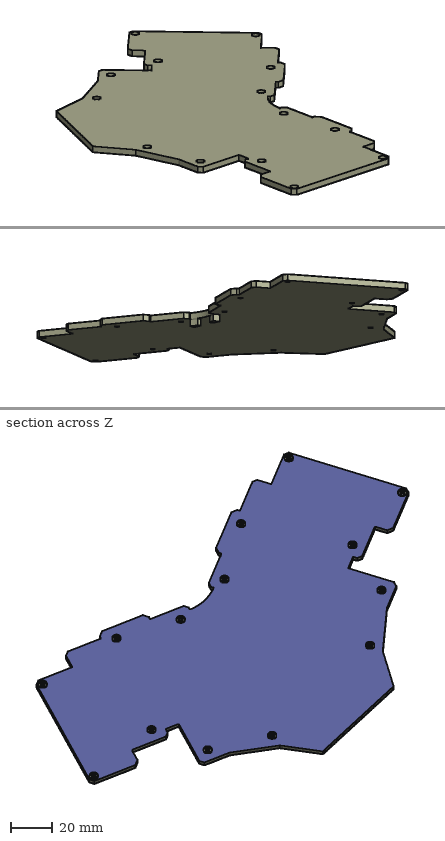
import cadquery as cq
import math

OVERALL_WIDTH = 210.5
MIRROR_ANGLE = 67.5

PLATE_THICKNESS = 3.2
PEG_HEIGHT = 3.4

SMALL_CHAMFER = 1.9
LARGE_CHAMFER = 2.3

RIGHT_EDGE = 103.3
FAR_COLUMN_TOP = 14.3
FAR_COLUMN_BOTTOM_LEFT = 77.2
FAR_COLUMN_TOP_LEFT = 83.3
BANK_TOP = 23.4
BANK_LEFT = 17.5
RAISED_TOP = 27.0
RAISED_LEFT = 37.3
RAISED_RIGHT = 63.8
BANK_BOTTOM = -41.5
BANK_BOTTOM_LEFT = 57.2
RECESS_TOP = -37.5
RECESS_LEFT = 50.5
THUMB_BOTTOM = -63.0
NOTCH_BOTTOM = 20.2

LEFT_REACH = OVERALL_WIDTH - RIGHT_EDGE
MIRRORED_EDGE_ANGLE = 2 * MIRROR_ANGLE - 90
FAR_COLUMN_BOTTOM = RIGHT_EDGE - SMALL_CHAMFER - LEFT_REACH / math.sin(math.radians(MIRRORED_EDGE_ANGLE))

TIP_CORNER = (-6.0, -81.5)
LOWER_BEND = (11.4, -69.5)
THUMB_BEND = (35.1, -63.0)

NOTCH_CENTRE = (BANK_LEFT, BANK_LEFT * math.tan(math.radians(MIRROR_ANGLE)))
NOTCH_RADIUS = NOTCH_CENTRE[1] - NOTCH_BOTTOM

PEG_INNER = 4.5
PEG_OUTER = 9.3
PEG_FRONT = 22.0

HOLE_DIAMETER = 2.0
HEAD_DIAMETER = 4.0
HEAD_DEPTH = 1.5
CORNER_INSET = 3.0
HOLES = [
    (24.0, 16.8),
    (56.8, 20.2),
    (RIGHT_EDGE - CORNER_INSET, FAR_COLUMN_TOP - CORNER_INSET),
    (RIGHT_EDGE - CORNER_INSET, FAR_COLUMN_BOTTOM + CORNER_INSET),
    (63.8, -34.7),
    (44.0, -56.8),
    (12.2, -62.5),
]

AXIS = (math.cos(math.radians(MIRROR_ANGLE)), math.sin(math.radians(MIRROR_ANGLE)))
SIDEWAYS = (AXIS[1], -AXIS[0])


def along_axis(distance):
    """Point on the mirror plane at a distance from the origin."""
    return (AXIS[0] * distance, AXIS[1] * distance)


def axis_coordinates(point):
    """Distances of a point sideways from the mirror plane and along it."""
    sideways = point[0] * SIDEWAYS[0] + point[1] * SIDEWAYS[1]
    along = point[0] * AXIS[0] + point[1] * AXIS[1]
    return (sideways, along)


def mirrored(point):
    """Mirror image of a point across the mirror plane."""
    sideways = axis_coordinates(point)[0]
    return (point[0] - 2 * sideways * SIDEWAYS[0], point[1] - 2 * sideways * SIDEWAYS[1])


def toward(start, end, distance):
    """Point at a distance from start on the line to end."""
    share = distance / math.dist(start, end)
    return (start[0] + (end[0] - start[0]) * share, start[1] + (end[1] - start[1]) * share)


def with_chamfers(corners):
    """Replace each (x, y, chamfer) corner of an open outline by its two chamfer ends."""
    spots = [(x, y) for x, y, _ in corners]
    points = []
    for index, (x, y, chamfer) in enumerate(corners):
        if chamfer:
            points.append(toward((x, y), spots[index - 1], chamfer))
            points.append(toward((x, y), spots[index + 1], chamfer))
        else:
            points.append((x, y))
    return points


def plate():
    """The plate with its underside at Z = 0."""
    corners = [
        (*TIP_CORNER, 0),
        (*LOWER_BEND, 0),
        (*THUMB_BEND, 0),
        (RECESS_LEFT, THUMB_BOTTOM, SMALL_CHAMFER),
        (RECESS_LEFT, RECESS_TOP, 0),
        (BANK_BOTTOM_LEFT, RECESS_TOP, 0),
        (BANK_BOTTOM_LEFT, BANK_BOTTOM, SMALL_CHAMFER),
        (FAR_COLUMN_BOTTOM_LEFT, BANK_BOTTOM, 0),
        (FAR_COLUMN_BOTTOM_LEFT, FAR_COLUMN_BOTTOM, LARGE_CHAMFER),
        (RIGHT_EDGE, FAR_COLUMN_BOTTOM, SMALL_CHAMFER),
        (RIGHT_EDGE, FAR_COLUMN_TOP, SMALL_CHAMFER),
        (FAR_COLUMN_TOP_LEFT, FAR_COLUMN_TOP, 0),
        (FAR_COLUMN_TOP_LEFT, BANK_TOP, SMALL_CHAMFER),
        (RAISED_RIGHT, BANK_TOP, 0),
        (RAISED_RIGHT, RAISED_TOP, LARGE_CHAMFER),
        (RAISED_LEFT, RAISED_TOP, LARGE_CHAMFER),
        (RAISED_LEFT, BANK_TOP, 0),
        (BANK_LEFT, BANK_TOP, SMALL_CHAMFER),
        (BANK_LEFT, NOTCH_BOTTOM, 0),
    ]
    right_points = with_chamfers(corners)
    left_points = [mirrored(point) for point in reversed(right_points)]
    notch_middle = along_axis(math.hypot(*NOTCH_CENTRE) - NOTCH_RADIUS)
    return (
        cq.Workplane("XY")
        .polyline(right_points)
        .threePointArc(notch_middle, left_points[0])
        .polyline(left_points[1:], includeCurrent=True)
        .close()
        .extrude(PLATE_THICKNESS)
    )


def peg():
    """Block under the plate whose back follows the notch and whose outer side slants to its end."""
    notch_end = axis_coordinates((BANK_LEFT, NOTCH_BOTTOM))
    block = (
        cq.Workplane("XY")
        .polyline([(PEG_INNER, PEG_FRONT), (PEG_OUTER, PEG_FRONT), notch_end, (PEG_INNER, notch_end[1])])
        .close()
        .extrude(-PEG_HEIGHT)
    )
    notch = (
        cq.Workplane("XY")
        .center(*axis_coordinates(NOTCH_CENTRE))
        .circle(NOTCH_RADIUS)
        .extrude(-PEG_HEIGHT)
    )
    return block.cut(notch).rotate((0, 0, 0), (0, 0, 1), MIRROR_ANGLE - 90)


def drill_screw_holes(body):
    """Counterbored through holes, entered from the top face."""
    return (
        body.faces(">Z")
        .workplane(origin=(0, 0, PLATE_THICKNESS))
        .pushPoints(HOLES + [mirrored(hole) for hole in HOLES])
        .cboreHole(HOLE_DIAMETER, HEAD_DIAMETER, HEAD_DEPTH)
    )


right_peg = peg()
left_peg = right_peg.mirror(cq.Vector(*SIDEWAYS))
drilled_plate = drill_screw_holes(plate())
result = drilled_plate.union(right_peg, clean=False).union(left_peg, clean=False)